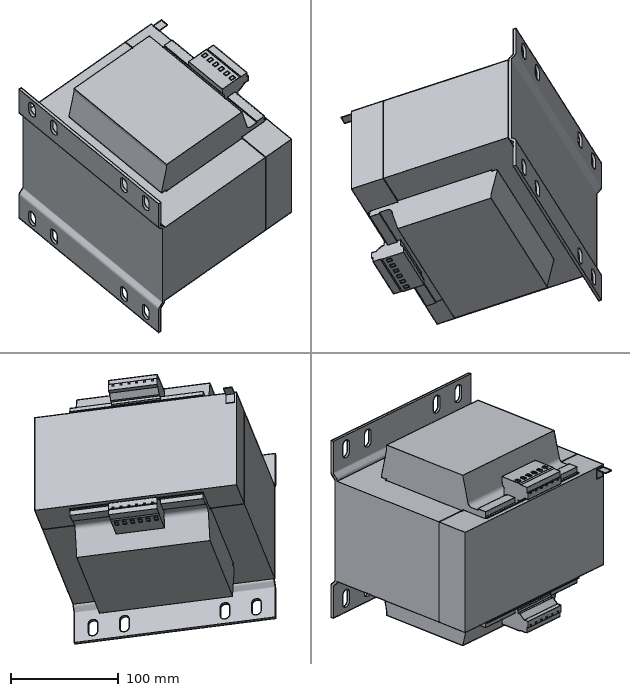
import cadquery as cq
import math


TOTAL_HEIGHT = 183.0
PLATE_LEFT = -95.2
PLATE_RIGHT = 96.0
PLATE_THICKNESS = 2.9
JOGGLE_DEPTH = 4.8
JOGGLE_ANGLE = 45.0
FLANGE_BEND_Z = 57.2
BEND_INNER_RADIUS = 1.3
BEND_OUTER_RADIUS = BEND_INNER_RADIUS + PLATE_THICKNESS
SLOT_LENGTH = 18.0
SLOT_WIDTH = 9.0
SLOT_Z = 77.4
SLOT_OFFSETS = (47.8, 77.8)

CORE_WIDTH = 192.0
CORE_HEIGHT = 103.7
CORE_FRONT = JOGGLE_DEPTH + PLATE_THICKNESS
CORE_BACK = 167.6
WINDOW_FRONT = 39.2
WINDOW_BACK = 135.2
YOKE_GAP = 0.5
SIDE_GAP = 0.8

COIL_WIDTH = 126.7
COIL_TOP = 88.1
COIL_FRONT_TOP_Y = 40.1
COIL_FRONT_BAND_Z = 84.0
COIL_FRONT_Y = 33.8
COIL_FRONT_Z = 54.5
COIL_UNDERSIDE = CORE_HEIGHT / 2 + 0.8
COIL_SLOPE_FOOT_Y = 142.5
COIL_FOOT_RADIUS = 4.8

LEDGE_TOP = 58.4
RAIL_TOP = 60.0
RAIL_FRONT = 154.0
RAIL_BACK = 163.8
LIP_TOP = 54.7
LIP_BOTTOM = 53.8
LIP_BACK = 165.9
LIP_BEVEL_Y = 162.6

TERMINAL_WIDTH = 46.0
TERMINAL_TOP = 76.2
TERMINAL_STEP_TOP = 75.5
TERMINAL_STEP_FRONT = 169.5
TERMINAL_STEP_BACK = 171.3
TERMINAL_BEVEL_FRONT = 177.0
TERMINAL_BEVEL_Z = 75.0
TERMINAL_FRONT = 147.6
TERMINAL_FOOT_FRONT = 150.5
FOOT_SLOPE_BOTTOM = 65.0
FOOT_SLOPE_TOP = 69.7
TERMINAL_BACK = 180.3
NOSE_TOP = 69.7
NOSE_BOTTOM = 63.0
NOSE_DEPTH = 1.3
NOSE_SLOPE_FRONT = 170.0
NOSE_SLOPE_BACK = 175.7
HOOK_BACK = 167.6
HOOK_CHAMFER = 1.0
POLE_COUNT = 6
POLE_PITCH = 7.5
POCKET_WIDTH = 3.3
POCKET_LENGTH = 4.8
POCKET_Y = 164.0
POCKET_DEPTH = 0.8
NOTCH_WIDTH = 1.7
NOTCH_LENGTH = 0.8
NOTCH_DEPTH = 2.0
NOTCH_WALL = 0.29

TAB_LEFT = -94.3
TAB_WIDTH = 8.3
TAB_THICKNESS = 0.8
TAB_TOP = 50.3
TAB_BOTTOM = 40.3
TAB_BACK = 179.0


def side_extrusion(outline, x_start, width):
    """Extrude a closed outline of (y, z) points along +X."""
    return cq.Workplane("YZ", origin=(x_start, 0, 0)).polyline(outline).close().extrude(width)


def block(x_range, y_range, z_range):
    """Box between the given limits."""
    lows, highs = zip(x_range, y_range, z_range)
    sizes = [high - low for low, high in zip(lows, highs)]
    return cq.Workplane("XY").box(*sizes, centered=False).translate(lows)


def with_mirror(body):
    """Join a body to its mirror image below Z = 0."""
    return body.union(body.mirror("XY"))


def bend_edge(y, z):
    """Selector for the edge along X at a bend corner."""
    reach = 0.2
    return cq.selectors.BoxSelector(
        (-CORE_WIDTH, y - reach, z - reach), (CORE_WIDTH, y + reach, z + reach), boundingbox=True
    )


def mounting_plate():
    """Web set back from two joggled flanges, each with a row of upright slots."""
    half_height = TOTAL_HEIGHT / 2
    web_bend_z = FLANGE_BEND_Z - JOGGLE_DEPTH / math.tan(math.radians(JOGGLE_ANGLE))
    back_shift = PLATE_THICKNESS * math.tan(math.radians(JOGGLE_ANGLE / 2))
    flange_front = (0, FLANGE_BEND_Z)
    flange_back = (PLATE_THICKNESS, FLANGE_BEND_Z + back_shift)
    web_front = (JOGGLE_DEPTH, web_bend_z)
    web_back = (CORE_FRONT, web_bend_z + back_shift)
    outline = [
        (JOGGLE_DEPTH, 0),
        web_front,
        flange_front,
        (0, half_height),
        (PLATE_THICKNESS, half_height),
        flange_back,
        web_back,
        (CORE_FRONT, 0),
    ]
    half = side_extrusion(outline, PLATE_LEFT, PLATE_RIGHT - PLATE_LEFT)
    for corner in (flange_front, web_back):
        half = half.edges(bend_edge(*corner)).fillet(BEND_OUTER_RADIUS)
    for corner in (flange_back, web_front):
        half = half.edges(bend_edge(*corner)).fillet(BEND_INNER_RADIUS)

    middle = (PLATE_LEFT + PLATE_RIGHT) / 2
    slot_centres = [(middle + side * offset, SLOT_Z) for offset in SLOT_OFFSETS for side in (-1, 1)]
    slots = (
        cq.Workplane("XZ")
        .pushPoints(slot_centres)
        .slot2D(SLOT_LENGTH, SLOT_WIDTH, 90)
        .extrude(-PLATE_THICKNESS)
    )
    return with_mirror(half.cut(slots))


def core():
    """E-shaped stack and a separate back yoke; the coil joins them through the window."""
    half_width = CORE_WIDTH / 2
    z_range = (-CORE_HEIGHT / 2, CORE_HEIGHT / 2)
    x_range = (-half_width, half_width)
    window_half_width = COIL_WIDTH / 2 + SIDE_GAP
    body = block(x_range, (CORE_FRONT, CORE_BACK), z_range)
    window = block((-window_half_width, window_half_width), (WINDOW_FRONT, WINDOW_BACK), z_range)
    yoke_gap = block(x_range, (WINDOW_BACK - YOKE_GAP, WINDOW_BACK), z_range)
    return body.cut(window).cut(yoke_gap)


def coil():
    """Winding through the core window, overhanging above and below the core."""
    outline = [
        (WINDOW_FRONT, 0),
        (WINDOW_FRONT, COIL_UNDERSIDE),
        (COIL_FRONT_Y, COIL_UNDERSIDE),
        (COIL_FRONT_Y, COIL_FRONT_Z),
        (COIL_FRONT_TOP_Y, COIL_FRONT_BAND_Z),
        (COIL_FRONT_TOP_Y, COIL_TOP),
        (WINDOW_BACK, COIL_TOP),
        (COIL_SLOPE_FOOT_Y, LEDGE_TOP),
        (RAIL_FRONT, LEDGE_TOP),
        (RAIL_FRONT, RAIL_TOP),
        (RAIL_BACK, RAIL_TOP),
        (RAIL_BACK, LIP_TOP),
        (LIP_BACK, LIP_TOP),
        (LIP_BACK, LIP_BOTTOM),
        (LIP_BEVEL_Y, COIL_UNDERSIDE),
        (WINDOW_BACK, COIL_UNDERSIDE),
        (WINDOW_BACK, 0),
    ]
    half = side_extrusion(outline, -COIL_WIDTH / 2, COIL_WIDTH)
    half = half.edges(bend_edge(COIL_SLOPE_FOOT_Y, LEDGE_TOP)).fillet(COIL_FOOT_RADIUS)
    return with_mirror(half)


def terminal_blocks():
    """Upper and lower blocks, each hooked over the rail on its ledge."""
    nose_front = TERMINAL_BACK - NOSE_DEPTH
    outline = [
        (TERMINAL_FRONT, TERMINAL_TOP),
        (TERMINAL_STEP_FRONT, TERMINAL_TOP),
        (TERMINAL_STEP_BACK, TERMINAL_STEP_TOP),
        (TERMINAL_BEVEL_FRONT, TERMINAL_STEP_TOP),
        (nose_front, TERMINAL_BEVEL_Z),
        (nose_front, NOSE_TOP),
        (TERMINAL_BACK, NOSE_TOP),
        (TERMINAL_BACK, NOSE_BOTTOM),
        (NOSE_SLOPE_BACK, NOSE_BOTTOM),
        (NOSE_SLOPE_FRONT, LEDGE_TOP),
        (HOOK_BACK, LEDGE_TOP),
        (HOOK_BACK, LIP_TOP + HOOK_CHAMFER),
        (HOOK_BACK - HOOK_CHAMFER, LIP_TOP),
        (RAIL_BACK, LIP_TOP),
        (RAIL_BACK, RAIL_TOP),
        (RAIL_FRONT, RAIL_TOP),
        (RAIL_FRONT, LEDGE_TOP),
        (TERMINAL_FOOT_FRONT, LEDGE_TOP),
        (TERMINAL_FOOT_FRONT, FOOT_SLOPE_BOTTOM),
        (TERMINAL_FRONT, FOOT_SLOPE_TOP),
    ]
    upper = side_extrusion(outline, -TERMINAL_WIDTH / 2, TERMINAL_WIDTH)
    notch_back = TERMINAL_BACK - NOTCH_WALL
    for pole in range(POLE_COUNT):
        x = (pole - (POLE_COUNT - 1) / 2) * POLE_PITCH
        x_range = (x - POCKET_WIDTH / 2, x + POCKET_WIDTH / 2)
        y_range = (POCKET_Y - POCKET_LENGTH / 2, POCKET_Y + POCKET_LENGTH / 2)
        pocket = block(x_range, y_range, (TERMINAL_TOP - POCKET_DEPTH, TERMINAL_TOP))
        notch = block(
            (x - NOTCH_WIDTH / 2, x + NOTCH_WIDTH / 2),
            (notch_back - NOTCH_LENGTH, notch_back),
            (NOSE_TOP - NOTCH_DEPTH, NOSE_TOP),
        )
        upper = upper.cut(pocket).cut(notch)
    return with_mirror(upper)


def earth_tab():
    """L-shaped tab fixed to the back of the core."""
    x_range = (TAB_LEFT, TAB_LEFT + TAB_WIDTH)
    foot = block(x_range, (CORE_BACK, CORE_BACK + TAB_THICKNESS), (TAB_BOTTOM, TAB_TOP))
    blade = block(x_range, (CORE_BACK, TAB_BACK), (TAB_TOP - TAB_THICKNESS, TAB_TOP))
    return foot.union(blade)


result = mounting_plate().union(core()).union(coil()).union(terminal_blocks()).union(earth_tab())